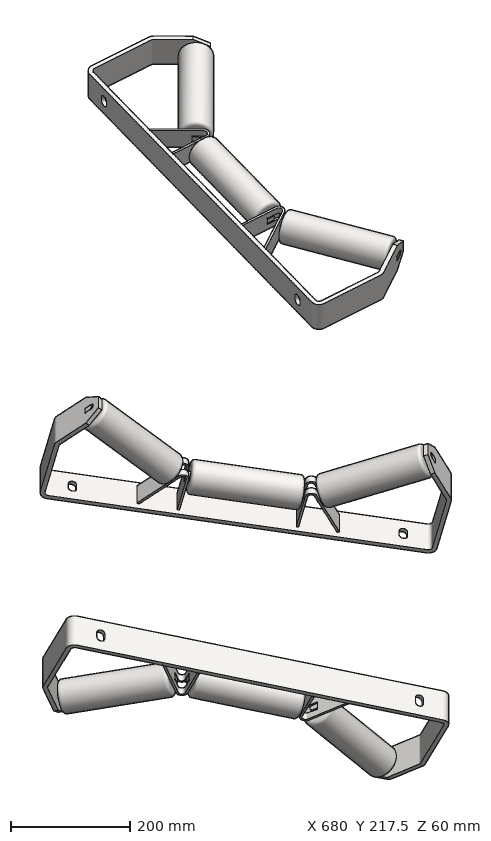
import cadquery as cq
import math

LENGTH = 680.0
HEIGHT = 217.5
BAR_WIDTH = 60.0
BAR_THICKNESS = 8.0
FRAME_BEND_RADIUS = 15.0
TROUGH_ANGLE = 35.0
WING_FACE_HEIGHT = 135.0

TIP_WIDTH = 26.0
TIP_TAPER = 29.0

MOUNT_SLOT_OFFSET = 283.5
MOUNT_SLOT_LENGTH = 22.5
MOUNT_SLOT_WIDTH = 14.0

BRACKET_WIDTH = 40.0
BRACKET_THICKNESS = 4.0
BRACKET_SLOT_WIDTH = 14.0
BRACKET_BEND_RADIUS = 10.0

ROLLER_DIAMETER = 60.0
ROLLER_FILLET = 6.0
ROLLER_GAP = 3.75
SUPPORT_SPAN = 200.0
ROLLER_AXIS_HEIGHT = 71.0
SHAFT_DIAMETER = 18.0
TANG_WIDTH = 10.0
SLOT_DEPTH = 7.0
TANG_TOP = 8.0
WING_SLOT_TOP = 12.0
WING_AXIS_OFFSET = 8.0

ROLLER_LENGTH = SUPPORT_SPAN - 2 * ROLLER_GAP

SIN = math.sin(math.radians(TROUGH_ANGLE))
COS = math.cos(math.radians(TROUGH_ANGLE))
AXIS_DIR = cq.Vector(COS, -SIN, 0)
PLATE_DIR = cq.Vector(SIN, COS, 0)

WING_CORNER = cq.Vector(-LENGTH / 2, WING_FACE_HEIGHT, 0)
WING_LENGTH = (HEIGHT - WING_FACE_HEIGHT) / COS
WING_INNER_FACE = WING_CORNER.dot(AXIS_DIR) + BAR_THICKNESS
WING_TIP = WING_CORNER + PLATE_DIR * WING_LENGTH

MIDDLE_CENTER = cq.Vector(0, ROLLER_AXIS_HEIGHT, 0)
LEFT_CENTER = AXIS_DIR * (WING_INNER_FACE + SUPPORT_SPAN / 2) - PLATE_DIR * WING_AXIS_OFFSET


def plate_plane(origin, normal, up):
    """Plane with local y along the plate's length and local z along the normal."""
    return cq.Plane(origin=origin.toTuple(), xDir=up.cross(normal).toTuple(), normal=normal.toTuple())


def mirrored_x(body):
    """Copy of a body on the other side of the YZ plane."""
    return body.mirror("YZ")


def offset_right(points, distance):
    """Open line of points moved to the right of its direction of travel, with mitred corners."""
    corners = [cq.Vector(*point, 0) for point in points]
    steps = [(end - start).normalized() for start, end in zip(corners, corners[1:])]
    rights = [cq.Vector(step.y, -step.x, 0) for step in steps]
    line = [corners[0] + rights[0] * distance]
    for corner, before, after in zip(corners[1:-1], rights, rights[1:]):
        line.append(corner + (before + after) * (distance / (1 + before.dot(after))))
    line.append(corners[-1] + rights[-1] * distance)
    return [corner.toTuple()[:2] for corner in line]


def bent_strip(outer, width, thickness, bend_radius):
    """Bent strip from its sharp outer corners; the thickness lies to the right of travel."""
    inner = offset_right(outer, thickness)
    strip = cq.Workplane("XY").polyline(outer + inner[::-1]).close().extrude(width / 2, both=True)
    for corners, radius in ((outer, bend_radius), (inner, bend_radius - thickness)):
        for x, y in corners[1:-1]:
            bend_edge = cq.selectors.NearestToPointSelector((x, y, 0))
            strip = strip.edges(bend_edge).fillet(radius)
    return strip


def arched_outline(plane, top):
    """Outline of a shaft end or its slot: square at the bottom, round at the top."""
    half = TANG_WIDTH / 2
    return (cq.Workplane(plane)
            .moveTo(-half, -SLOT_DEPTH)
            .lineTo(half, -SLOT_DEPTH)
            .lineTo(half, top - half)
            .threePointArc((0, top), (-half, top - half))
            .close())


def make_frame():
    left = [WING_TIP.toTuple()[:2], WING_CORNER.toTuple()[:2], (-LENGTH / 2, 0)]
    right = [(-x, y) for x, y in reversed(left)]
    frame = bent_strip((left + right)[::-1], BAR_WIDTH, BAR_THICKNESS, FRAME_BEND_RADIUS)

    mount_slots = (cq.Workplane("XZ").pushPoints([(-MOUNT_SLOT_OFFSET, 0), (MOUNT_SLOT_OFFSET, 0)])
                   .slot2D(MOUNT_SLOT_LENGTH, MOUNT_SLOT_WIDTH, 90).extrude(-BAR_THICKNESS))
    frame = frame.cut(mount_slots)

    tip_plane = plate_plane(WING_TIP, AXIS_DIR, PLATE_DIR)
    for side in (-1, 1):
        corner = (cq.Workplane(tip_plane)
                  .polyline([(side * TIP_WIDTH / 2, 0),
                             (side * BAR_WIDTH / 2, 0),
                             (side * BAR_WIDTH / 2, -TIP_TAPER)])
                  .close().extrude(BAR_THICKNESS))
        frame = frame.cut(corner).cut(mirrored_x(corner))
    slot_plane = plate_plane(LEFT_CENTER - AXIS_DIR * (SUPPORT_SPAN / 2), AXIS_DIR, PLATE_DIR)
    slot = arched_outline(slot_plane, WING_SLOT_TOP).extrude(-BAR_THICKNESS)
    return frame.cut(slot).cut(mirrored_x(slot))


def make_bracket():
    """Left bracket, standing on the base of the frame."""
    leg_x = -SUPPORT_SPAN / 2
    slope_face = WING_INNER_FACE + SUPPORT_SPAN
    apex_y = (leg_x * COS - slope_face) / SIN
    foot_y = BAR_THICKNESS + BRACKET_THICKNESS * SIN
    foot_x = (slope_face + foot_y * SIN) / COS
    bracket = bent_strip([(foot_x, foot_y), (leg_x, apex_y), (leg_x, BAR_THICKNESS)],
                         BRACKET_WIDTH, BRACKET_THICKNESS, BRACKET_BEND_RADIUS)
    slot_foot = LEFT_CENTER + AXIS_DIR * (SUPPORT_SPAN / 2) - PLATE_DIR * SLOT_DEPTH
    slot = bent_strip([slot_foot.toTuple()[:2], (leg_x, apex_y), (leg_x, ROLLER_AXIS_HEIGHT - SLOT_DEPTH)],
                      BRACKET_SLOT_WIDTH, BRACKET_THICKNESS, BRACKET_BEND_RADIUS)
    return bracket.cut(slot)


def make_roller(left_wall, right_wall):
    """Roller on the X axis with its shaft; each flatted end fills the thickness of its support."""
    roller = (cq.Workplane("YZ").workplane(offset=-ROLLER_LENGTH / 2)
              .circle(ROLLER_DIAMETER / 2).extrude(ROLLER_LENGTH)
              .edges().fillet(ROLLER_FILLET))
    shaft = cq.Workplane("YZ").circle(SHAFT_DIAMETER / 2).extrude(SUPPORT_SPAN / 2, both=True)
    tang_start = cq.Vector(-SUPPORT_SPAN / 2 - left_wall, 0, 0)
    tang_plane = plate_plane(tang_start, cq.Vector(1, 0, 0), cq.Vector(0, 1, 0))
    tang = arched_outline(tang_plane, TANG_TOP).extrude(SUPPORT_SPAN + left_wall + right_wall)
    return roller.union(shaft).union(tang)


frame = make_frame()
middle_roller = make_roller(BRACKET_THICKNESS, BRACKET_THICKNESS).translate(MIDDLE_CENTER)
left_roller = (make_roller(BAR_THICKNESS, BRACKET_THICKNESS)
               .rotate((0, 0, 0), (0, 0, 1), -TROUGH_ANGLE)
               .translate(LEFT_CENTER))

brackets = []
rollers = [middle_roller]
for group, left_body in ((brackets, make_bracket()), (rollers, left_roller)):
    group.append(left_body)
    group.append(mirrored_x(left_body))

result = cq.Compound.makeCompound([body.val() for body in [frame, *brackets, *rollers]])